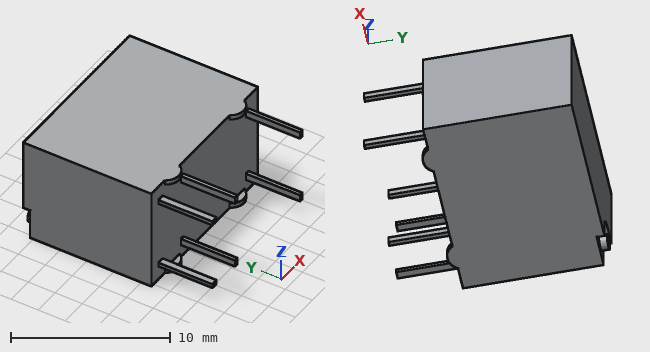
import cadquery as cq

body_width = 12.5
body_depth = 9.5
body_height = 7.5
base_y = -body_depth / 2
back_y = body_depth / 2
left_x = -body_width / 2
bottom_z = -body_height / 2

grid = 2.54
lead_length = 4.0
lead_wide = 0.5
lead_thin = 0.3
first_lead_inset = 1.07
first_lead_x = left_x + first_lead_inset
second_lead_x = first_lead_x + grid
third_lead_x = second_lead_x + 3 * grid
lead_row_z = grid

standoff_radius = 1.0
standoff_height = 0.5
standoff_thickness = 0.35
standoff_x = 3.8

notch_size = 2.2
notch_depth = 0.5
notch_radius = 1.0
stud_diameter = 1.0
stud_inset = 1.0


def make_body():
    return cq.Workplane("XY").box(body_width, body_depth, body_height)


def make_lead(x, z, size_x, size_z):
    """Rectangular lead running outward from the base face."""
    lead = cq.Workplane("XY").box(size_x, lead_length, size_z)
    return lead.translate((x, base_y - lead_length / 2, z))


def make_standoff(x, z):
    """Disc slice centred at height z, sunk so that only its crown leaves the base face."""
    centre_y = base_y - standoff_height + standoff_radius
    disc = cq.Workplane("XY").circle(standoff_radius).extrude(standoff_thickness / 2, both=True)
    return disc.translate((x, centre_y, z))


def make_notch():
    """Corner cutter with one rounded inner edge, leaving the stud standing."""
    centre = (left_x + notch_size / 2, back_y - notch_depth / 2, bottom_z + notch_size / 2)
    block = cq.Workplane("XY").box(notch_size, notch_depth, notch_size)
    block = block.edges("|Y and >X and >Z").fillet(notch_radius).translate(centre)
    stud = (
        cq.Workplane("XZ", origin=(left_x + stud_inset, back_y, bottom_z + stud_inset))
        .circle(stud_diameter / 2)
        .extrude(notch_depth)
    )
    return block.cut(stud)


result = make_body().cut(make_notch())

for side in (-1, 1):
    lead_z = side * lead_row_z
    result = result.union(make_lead(first_lead_x, lead_z, lead_wide, lead_thin))
    for lead_x in (second_lead_x, third_lead_x):
        result = result.union(make_lead(lead_x, lead_z, lead_thin, lead_wide))

    standoff_z = side * (body_height - standoff_thickness) / 2
    for bump_x in (-standoff_x, standoff_x):
        result = result.union(make_standoff(bump_x, standoff_z))